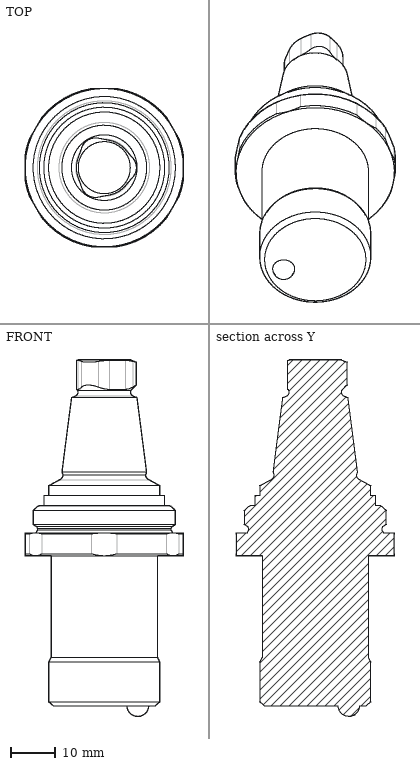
import cadquery as cq
import math

total_height = 80.25

foot_bottom = 2.3
foot_radius = 25.0 / 2
foot_chamfer_width = 1.1
foot_chamfer_height = 1.0
foot_top = 12.3
barrel_start = 13.3
barrel_radius = 24.0 / 2

flange_bottom = 36.1
flange_top = 41.3
flange_flat_distance = 35.6 / 2
flat_half_angle = 9.0
flange_radius = flange_flat_distance / math.cos(math.radians(flat_half_angle))
flange_bottom_chamfer = 0.5
flange_top_chamfer = 0.25
flat_angles = (0, 30, 90, 150, 180, 210, 270, 330)

groove_radius = 30.1 / 2
groove_low = 42.0
groove_high = 42.3
groove_rim_radius = 15.4
groove_corner_radius = 15.25
groove_corner = 42.7

collar_radius = 32.0 / 2
collar_bottom = 43.2
collar_chamfer_start = 46.4
collar_chamfer_end = 47.3
collar_top = 47.5
collar_rim_radius = 14.6
collar_top_radius = 30.1 / 2
middle_step_radius = 27.2 / 2
middle_step_top = 49.75
upper_step_radius = 25.0 / 2
upper_step_top = 51.9

shoulder_radius = 10.2
shoulder_top = 53.2
shoulder_arc_radius = 9.55
shoulder_arc_height = 53.7
waist_radius = 9.3
waist_height = 54.3

taper_base_radius = 9.55
taper_base = 55.0
taper_tip_radius = 7.4
taper_tip = 71.75

neck_foot_radius = 6.4
neck_foot = 72.15
neck_radius = 6.0
neck_top = 73.35
neck_hollow_radius = 5.9
neck_hollow_height = 72.9

lobe_count = 3
head_base_radius = 6.25
lobe_radius = 3.3
lobe_offset = 3.9
lobe_reach = lobe_offset + lobe_radius
head_top_radius = 5.85
head_top_chamfer = 0.6

stud_x = 7.55
stud_radius = 2.5


def polar(radius, angle):
    """Point at the given radius and angle in degrees."""
    return radius * math.cos(math.radians(angle)), radius * math.sin(math.radians(angle))


def make_body():
    """Revolved body from the foot up to the neck."""
    return (
        cq.Workplane("XZ")
        .moveTo(0, foot_bottom)
        .lineTo(foot_radius - foot_chamfer_width, foot_bottom)
        .lineTo(foot_radius, foot_bottom + foot_chamfer_height)
        .lineTo(foot_radius, foot_top)
        .lineTo(barrel_radius, barrel_start)
        .lineTo(barrel_radius, flange_top)
        .lineTo(groove_rim_radius, flange_top)
        .lineTo(groove_radius, groove_low)
        .lineTo(groove_radius, groove_high)
        .lineTo(groove_corner_radius, groove_corner)
        .lineTo(collar_radius, collar_bottom)
        .lineTo(collar_radius, collar_chamfer_start)
        .lineTo(collar_top_radius, collar_chamfer_end)
        .lineTo(collar_rim_radius, collar_top)
        .lineTo(middle_step_radius, collar_top)
        .lineTo(middle_step_radius, middle_step_top)
        .lineTo(upper_step_radius, middle_step_top)
        .lineTo(upper_step_radius, upper_step_top)
        .lineTo(shoulder_radius, shoulder_top)
        .threePointArc((shoulder_arc_radius, shoulder_arc_height), (waist_radius, waist_height))
        .lineTo(taper_base_radius, taper_base)
        .lineTo(taper_tip_radius, taper_tip)
        .lineTo(neck_foot_radius, neck_foot)
        .threePointArc((neck_hollow_radius, neck_hollow_height), (neck_radius, neck_top))
        .lineTo(0, neck_top)
        .close()
        .revolve(360, (0, 0, 0), (0, 1, 0))
    )


def make_flange():
    """Chamfered disc with flats milled on its rim."""
    flange = (
        cq.Workplane("XY", origin=(0, 0, flange_bottom))
        .circle(flange_radius)
        .extrude(flange_top - flange_bottom)
        .faces("<Z").chamfer(flange_bottom_chamfer, flange_top_chamfer)
        .faces(">Z").chamfer(flange_top_chamfer)
    )
    for angle in flat_angles:
        cutter = (
            cq.Workplane("XY", origin=(0, 0, flange_bottom))
            .center(flange_flat_distance + flange_radius / 2, 0)
            .rect(flange_radius, flange_radius)
            .extrude(flange_top - flange_bottom)
            .rotate((0, 0, 0), (0, 0, 1), angle)
        )
        flange = flange.cut(cutter)
    return flange


def make_head():
    """Base circle and three lobe circles joined by tangent lines, bevelled at both ends."""
    tangent_angle = math.degrees(math.acos((head_base_radius - lobe_radius) / lobe_offset))
    lobe_pitch = 360 / lobe_count
    outline = cq.Workplane("XY", origin=(0, 0, neck_top)).moveTo(*polar(head_base_radius, -tangent_angle))
    for index in range(lobe_count):
        axis = index * lobe_pitch
        center_x, center_y = polar(lobe_offset, axis)

        def lobe_point(angle):
            x, y = polar(lobe_radius, angle)
            return center_x + x, center_y + y

        outline = (
            outline.lineTo(*lobe_point(axis - tangent_angle))
            .threePointArc(lobe_point(axis), lobe_point(axis + tangent_angle))
            .lineTo(*polar(head_base_radius, axis + tangent_angle))
            .threePointArc(
                polar(head_base_radius, axis + lobe_pitch / 2),
                polar(head_base_radius, axis + lobe_pitch - tangent_angle),
            )
        )
    prism = outline.close().extrude(total_height - neck_top)
    envelope = (
        cq.Workplane("XZ")
        .moveTo(0, neck_top)
        .lineTo(neck_radius, neck_top)
        .lineTo(lobe_reach, neck_top + lobe_reach - neck_radius)
        .lineTo(lobe_reach, total_height - head_top_chamfer)
        .lineTo(head_top_radius, total_height)
        .lineTo(0, total_height)
        .close()
        .revolve(360, (0, 0, 0), (0, 1, 0))
    )
    return prism.intersect(envelope)


def make_stud():
    """Ball seated in the foot, showing as a dome below it."""
    return cq.Workplane("XY").sphere(stud_radius).translate((stud_x, 0, stud_radius))


result = make_body().union(make_flange()).union(make_head()).union(make_stud())